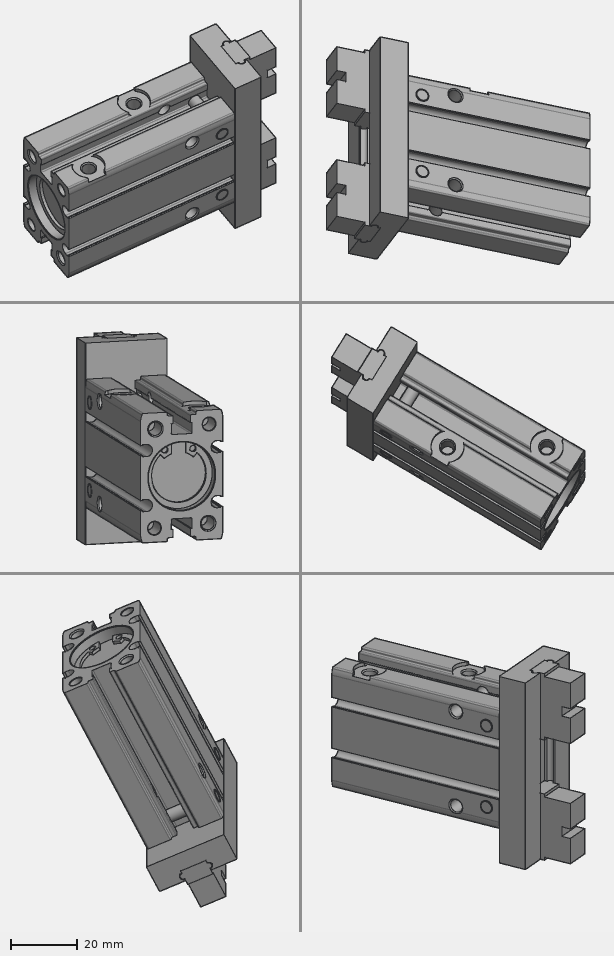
import cadquery as cq
import math


TOTAL_LENGTH = 79.2
WIDTH = 26.0
HEAD_HEIGHT = 62.2
BARREL_LENGTH = 59.25
HEAD_END = 68.6
HEAD_EDGE_CHAMFER = 0.2

BARREL_HALF_HEIGHT = 19.95
FLAT_SIDE_HALF_HEIGHT = 17.5
CROWN_INSET = 0.4
CORNER_RADIUS = 0.5

SLOT_STEP_HALF_WIDTH = 4.5
SLOT_STEP_DEPTH = 1.2
SLOT_STEP_RADIUS = 0.5
SLOT_NECK_HALF_WIDTH = 2.8
SLOT_NECK_RADIUS = 0.2
SLOT_NECK_END_DEPTH = 3.65
SLOT_HALF_WIDTH = 3.25
SLOT_DEPTH = 7.0
SLOT_FLOOR_RADIUS = 0.4

GROOVE_DIAMETER = 3.7
GROOVE_Z = 8.5
GROOVE_DEPTH = 3.7
GROOVE_MOUTH = 3.2
GROOVE_LIP = 0.7

BORE_DIAMETER = 21.0
BORE_CHAMFER = 0.2
RING_SETBACK = 3.0
RING_THICKNESS = 1.0
RING_INNER_RADIUS = 8.6
RING_HALF_GAP = 2.3
EAR_INNER_RADIUS = 6.9
EAR_END_ANGLE = 42.0
EAR_HOLE_DIAMETER = 2.0
EAR_HOLE_X = 4.4
EAR_HOLE_Z = 7.8

CHAMFER_ANGLE = 45.0
THREAD_DIAMETER = 4.1
THREAD_CHAMFER = 0.4
DOWEL_DIAMETER = 4.0
DOWEL_CHAMFER = 0.15
END_HOLE_DEPTH = 7.9
END_THREAD_X = 8.3
END_THREAD_Z = 15.0
END_DOWEL_X = 8.6
END_DOWEL_Z = 15.6
SIDE_HOLE_Y = 43.95
SIDE_HOLE_Z = 15.85

PORT_X = 7.8
FRONT_PORT_Y = 10.3
REAR_PORT_Y = 36.0
PORT_DEPTH = 7.9
PORT_SEAT_DIAMETER = 10.0
PORT_SEAT_RELIEF = 6.0

PIN_DIAMETER = 4.1
PIN_CHAMFER = 0.2
PIN_Y = 54.7
PIN_Z = 13.55

JAW_WIDTH = 8.5
JAW_BLOCK_HEIGHT = 20.1
JAW_NOTCH_HEIGHT = 3.2
JAW_NOTCH_DEPTH = 3.0
JAW_RAIL_HEIGHT = 22.1
JAW_CENTRE_Z = (HEAD_HEIGHT - JAW_RAIL_HEIGHT) / 2
RAIL_START = 64.95
RAIL_END = 70.0
RACE_Y = 66.9
RAIL_BEAD_DIAMETER = 2.0
GUIDE_RACE_DIAMETER = 2.4


def cylinder_y(diameter, x, z, start, length):
    """Cylinder along +Y."""
    return cq.Workplane("XZ", origin=(x, start, z)).circle(diameter / 2).extrude(-length)


def box_between(x, y, z):
    """Box given by its (low, high) limits along each axis."""
    size = [high - low for low, high in (x, y, z)]
    return cq.Workplane("XY", origin=(x[0], y[0], z[0])).box(*size, centered=False)


def chamfered_hole(mouth, diameter, depth, chamfer):
    """Cutter for a hole with a 45-degree chamfer; `mouth` is a plane whose normal leaves the part."""
    bore = cq.Workplane(mouth).circle(diameter / 2).extrude(-depth)
    cone = cq.Workplane(mouth).circle(diameter / 2 + chamfer).extrude(-chamfer, taper=CHAMFER_ANGLE)
    return bore.union(cone)


def barrel_blank():
    """Barrel with rounded corners and sides that curve in slightly towards top and bottom."""
    half_width = WIDTH / 2
    crown_x = half_width - CROWN_INSET
    corner_z = BARREL_HALF_HEIGHT - CORNER_RADIUS
    corner_x = crown_x - CORNER_RADIUS
    crown_rise = corner_z - FLAT_SIDE_HALF_HEIGHT
    crown_radius = (crown_rise**2 + CROWN_INSET**2) / (2 * CROWN_INSET)
    outline = (
        cq.Workplane("XZ")
        .moveTo(half_width, -FLAT_SIDE_HALF_HEIGHT)
        .lineTo(half_width, FLAT_SIDE_HALF_HEIGHT)
        .radiusArc((crown_x, corner_z), -crown_radius)
        .radiusArc((corner_x, BARREL_HALF_HEIGHT), -CORNER_RADIUS)
        .lineTo(-corner_x, BARREL_HALF_HEIGHT)
        .radiusArc((-crown_x, corner_z), -CORNER_RADIUS)
        .radiusArc((-half_width, FLAT_SIDE_HALF_HEIGHT), -crown_radius)
        .lineTo(-half_width, -FLAT_SIDE_HALF_HEIGHT)
        .radiusArc((-crown_x, -corner_z), -crown_radius)
        .radiusArc((-corner_x, -BARREL_HALF_HEIGHT), -CORNER_RADIUS)
        .lineTo(corner_x, -BARREL_HALF_HEIGHT)
        .radiusArc((crown_x, -corner_z), -CORNER_RADIUS)
        .radiusArc((half_width, -FLAT_SIDE_HALF_HEIGHT), -crown_radius)
        .close()
    )
    return outline.extrude(-BARREL_LENGTH)


def sensor_slot():
    """Cutter for the stepped T-slot in the barrel's top."""
    top = BARREL_HALF_HEIGHT
    step_z = top - SLOT_STEP_DEPTH
    neck_z = top - SLOT_NECK_END_DEPTH
    floor_z = top - SLOT_DEPTH
    flare_x = SLOT_STEP_HALF_WIDTH + SLOT_STEP_RADIUS
    step_x = SLOT_STEP_HALF_WIDTH - SLOT_STEP_RADIUS
    floor_x = SLOT_HALF_WIDTH - SLOT_FLOOR_RADIUS
    half = (
        cq.Workplane("XZ")
        .moveTo(0, top)
        .lineTo(flare_x, top)
        .radiusArc((SLOT_STEP_HALF_WIDTH, top - SLOT_STEP_RADIUS), -SLOT_STEP_RADIUS)
        .lineTo(SLOT_STEP_HALF_WIDTH, step_z + SLOT_STEP_RADIUS)
        .radiusArc((step_x, step_z), SLOT_STEP_RADIUS)
        .lineTo(SLOT_NECK_HALF_WIDTH + SLOT_NECK_RADIUS, step_z)
        .radiusArc((SLOT_NECK_HALF_WIDTH, step_z - SLOT_NECK_RADIUS), -SLOT_NECK_RADIUS)
        .lineTo(SLOT_NECK_HALF_WIDTH, neck_z)
        .lineTo(SLOT_HALF_WIDTH, neck_z)
        .lineTo(SLOT_HALF_WIDTH, floor_z + SLOT_FLOOR_RADIUS)
        .radiusArc((floor_x, floor_z), SLOT_FLOOR_RADIUS)
        .lineTo(0, floor_z)
        .close()
        .extrude(-BARREL_LENGTH)
    )
    return half.union(half.mirror("YZ"))


def side_groove():
    """Cutter for one round-bottomed groove, narrower between its lips, in the barrel's +X side."""
    side_x = WIDTH / 2
    radius = GROOVE_DIAMETER / 2
    centre_x = side_x - GROOVE_DEPTH + radius
    length = (0, BARREL_LENGTH)

    def passage(outer_x, half_height):
        return box_between((centre_x, outer_x), length, (GROOVE_Z - half_height, GROOVE_Z + half_height))

    groove = cylinder_y(GROOVE_DIAMETER, centre_x, GROOVE_Z, 0, BARREL_LENGTH)
    return groove.union(passage(side_x - GROOVE_LIP, radius)).union(passage(side_x, GROOVE_MOUTH / 2))


def retaining_ring():
    """Ring with a gap at the top and two eared ends, seated against the bore's floor."""
    bore_radius = BORE_DIAMETER / 2

    def disc(radius):
        return cylinder_y(2 * radius, 0, 0, RING_SETBACK, RING_THICKNESS)

    ring = disc(bore_radius).cut(disc(RING_INNER_RADIUS))
    wedge_x = BORE_DIAMETER * math.tan(math.radians(EAR_END_ANGLE))
    wedge = (
        cq.Workplane("XZ", origin=(0, RING_SETBACK, 0))
        .polyline([(0, 0), (wedge_x, BORE_DIAMETER), (-wedge_x, BORE_DIAMETER)])
        .close()
        .extrude(-RING_THICKNESS)
    )
    ears = disc(bore_radius).cut(disc(EAR_INNER_RADIUS)).intersect(wedge)
    gap = box_between(
        (-RING_HALF_GAP, RING_HALF_GAP),
        (RING_SETBACK, RING_SETBACK + RING_THICKNESS),
        (0, bore_radius),
    )
    ring = ring.union(ears).cut(gap)
    for x in (-EAR_HOLE_X, EAR_HOLE_X):
        ring = ring.cut(cylinder_y(EAR_HOLE_DIAMETER, x, EAR_HOLE_Z, RING_SETBACK, RING_THICKNESS))
    return ring


def bore():
    """Cutter for the cylinder bore, less the retaining ring that stays in it."""
    mouth = cq.Plane(origin=(0, 0, 0), xDir=(1, 0, 0), normal=(0, -1, 0))
    depth = RING_SETBACK + RING_THICKNESS
    return chamfered_hole(mouth, BORE_DIAMETER, depth, BORE_CHAMFER).cut(retaining_ring())


def end_holes():
    """Cutters for the two threaded and two dowel holes in the barrel's end face."""
    cutters = []
    for side in (1, -1):
        thread = cq.Plane((-side * END_THREAD_X, 0, side * END_THREAD_Z), (1, 0, 0), (0, -1, 0))
        dowel = cq.Plane((side * END_DOWEL_X, 0, side * END_DOWEL_Z), (1, 0, 0), (0, -1, 0))
        cutters.append(chamfered_hole(thread, THREAD_DIAMETER, END_HOLE_DEPTH, THREAD_CHAMFER))
        cutters.append(chamfered_hole(dowel, DOWEL_DIAMETER, END_HOLE_DEPTH, DOWEL_CHAMFER))
    return cutters


def side_holes():
    """Cutters for the threaded holes that run through the barrel along X, chamfered at both ends."""
    cutters = []
    for z in (-SIDE_HOLE_Z, SIDE_HOLE_Z):
        for side in (-1, 1):
            mouth = cq.Plane((side * WIDTH / 2, SIDE_HOLE_Y, z), (0, 1, 0), (side, 0, 0))
            cutters.append(chamfered_hole(mouth, THREAD_DIAMETER, WIDTH / 2, THREAD_CHAMFER))
    return cutters


def air_port(side, y):
    """Cutter for a threaded port in a sunken round seat that opens to the barrel's side."""
    x = side * PORT_X
    seat_z = BARREL_HALF_HEIGHT - SLOT_STEP_DEPTH
    seat = (
        cq.Workplane("XY", origin=(x, y, seat_z))
        .circle(PORT_SEAT_DIAMETER / 2)
        .extrude(SLOT_STEP_DEPTH)
    )
    relief_x = sorted((x, side * WIDTH / 2))
    half_relief = PORT_SEAT_RELIEF / 2
    relief = box_between(relief_x, (y - half_relief, y + half_relief), (seat_z, BARREL_HALF_HEIGHT))
    mouth = cq.Plane((x, y, seat_z), (1, 0, 0), (0, 0, 1))
    return seat.union(relief).union(chamfered_hole(mouth, THREAD_DIAMETER, PORT_DEPTH, THREAD_CHAMFER))


def lever_pin(z, chamfer):
    """Pin along X across the full width, with chamfered ends when `chamfer` is not zero."""
    pin = cq.Workplane("YZ", origin=(-WIDTH / 2, PIN_Y, z)).circle(PIN_DIAMETER / 2).extrude(WIDTH)
    return pin.faces("<X or >X").chamfer(chamfer) if chamfer else pin


def head():
    """Cross head with the guide for the jaws along its full height."""
    half_width = WIDTH / 2
    half_height = HEAD_HEIGHT / 2
    block = box_between(
        (-half_width, half_width), (BARREL_LENGTH, HEAD_END), (-half_height, half_height)
    )
    block = block.edges("|Z").chamfer(HEAD_EDGE_CHAMFER)
    return block.cut(rail(-half_height, half_height, GUIDE_RACE_DIAMETER))


def rail(bottom, top, bead_diameter):
    """Rectangular rail along Z with a round bead on each flank."""
    half_width = JAW_WIDTH / 2
    body = box_between((-half_width, half_width), (RAIL_START, RAIL_END), (bottom, top))
    beads = (
        cq.Workplane("XY", origin=(0, RACE_Y, bottom))
        .pushPoints([(-half_width, 0), (half_width, 0)])
        .circle(bead_diameter / 2)
        .extrude(top - bottom)
    )
    return body.union(beads)


def housing():
    """Barrel with all its cutouts, its retaining ring and lever pins, joined to the head."""
    slot = sensor_slot()
    groove = side_groove()
    right_grooves = groove.union(groove.mirror("XY"))
    body = barrel_blank().cut(slot).cut(slot.mirror("XY"))
    body = body.cut(right_grooves).cut(right_grooves.mirror("YZ")).cut(bore())
    ports = [air_port(-1, REAR_PORT_Y), air_port(1, FRONT_PORT_Y)]
    for cutter in end_holes() + side_holes() + ports:
        body = body.cut(cutter)
    for z in (-PIN_Z, PIN_Z):
        body = body.cut(lever_pin(z, 0)).union(lever_pin(z, PIN_CHAMFER))
    return body.union(head())


def jaw(side):
    """Jaw above (side = 1) or below (side = -1) the middle, with its rail's outer end flush with the head."""
    half_width = JAW_WIDTH / 2
    across = (-half_width, half_width)
    half_block = JAW_BLOCK_HEIGHT / 2
    half_notch = JAW_NOTCH_HEIGHT / 2
    rail_top = HEAD_HEIGHT / 2
    block = box_between(
        across, (RAIL_END, TOTAL_LENGTH), (JAW_CENTRE_Z - half_block, JAW_CENTRE_Z + half_block)
    )
    notch = box_between(
        across,
        (TOTAL_LENGTH - JAW_NOTCH_DEPTH, TOTAL_LENGTH),
        (JAW_CENTRE_Z - half_notch, JAW_CENTRE_Z + half_notch),
    )
    upper = block.cut(notch).union(rail(rail_top - JAW_RAIL_HEIGHT, rail_top, RAIL_BEAD_DIAMETER))
    return upper if side > 0 else upper.mirror("XY")


gripper_housing = housing()
jaws = [jaw(side) for side in (1, -1)]

jaw_solids = [one_jaw.solids().val() for one_jaw in jaws]
result = cq.Compound.makeCompound([gripper_housing.solids().val(), *jaw_solids])